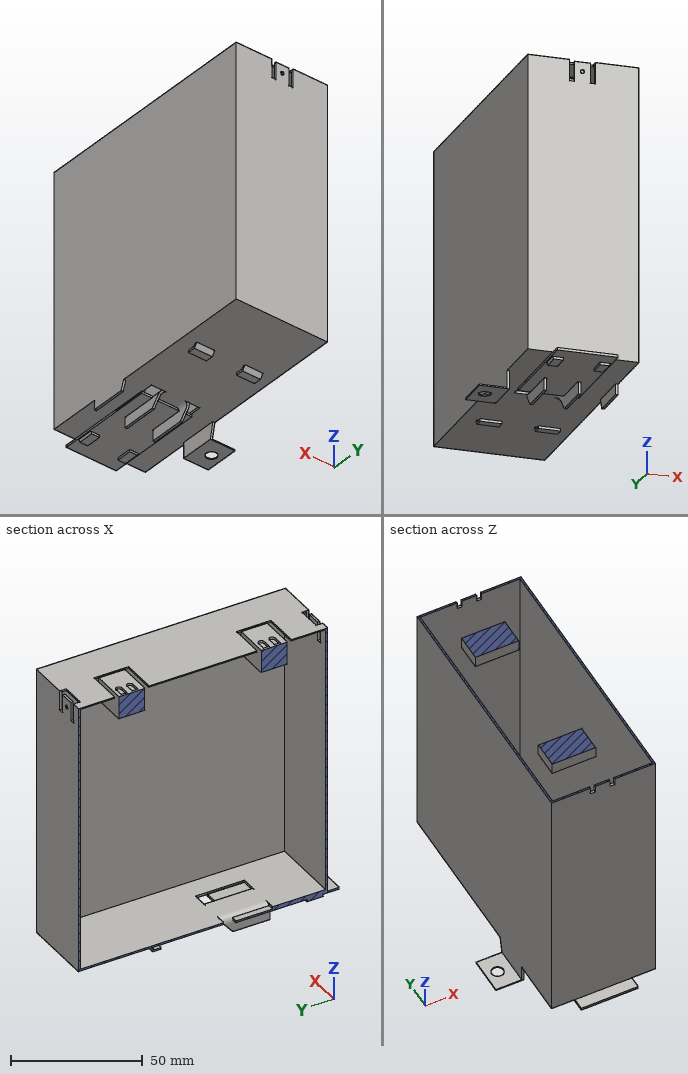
import cadquery as cq

width = 44.7
depth = 109.9
height = 120.0
sheet = 1.0
lid_thickness = 0.8
mid_x = width / 2

tab_front = 24.3
tab_back = 40.5
tab_root_back = 42.0
flange_reach = 11.1
flange_drop = 7.4
flange_thickness = 0.5
flange_hole_diameter = 5.0
flange_hole_x = -6.1
right_tab_drop = 4.3

plate_half_width = 12.2
plate_overhang = 5.1
latch_half_width = 16.2
latch_drop = 2 * sheet
guide_front = 1.9
guide_back = 9.0
guide_draft = 1.0
hook_tip = 73.5
hook_bend = 77.0
hook_root = 78.6
leg_outer_offset = 7.4
leg_drop = 6.0
leg_root_back = 45.8
leg_tip_back = 40.8
leg_bend_radius = 2.9
leg_opening_edge_offset = 11.8

catch_left = 16.8
catch_right = 27.3
catch_center = (catch_left + catch_right) / 2
catch_slot_width = 2.0
catch_slot_depth = 8.7
catch_top_gap = 0.5
catch_opening_depth = 2.9
dimple_diameter = 1.5
dimple_depth = 0.5
dimple_drop = 4.3

window_left = 9.7
window_width = 18.7
window_length = 15.2
window_fronts = (16.0, 78.8)
connector_front_gap = 1.8
connector_back_gap = 1.9
connector_recess = 0.5
connector_height = 10.2
contact_left = 14.0
contact_length = 5.1
contact_width = 2.5
contact_depth = 1.0
contact_offsets = (5.6, 10.5)


def box(x_range, y_range, z_range):
    """Axis-aligned box between the given limits."""
    sizes = [high - low for low, high in (x_range, y_range, z_range)]
    corner = (x_range[0], y_range[0], z_range[0])
    return cq.Workplane("XY").box(*sizes, centered=False).translate(corner)


def side_profile(points, x_start, x_end):
    """Outline of (y, z) points extruded from x_start to x_end."""
    outline = cq.Workplane("YZ", origin=(x_start, 0, 0)).polyline(points).close()
    return outline.extrude(x_end - x_start)


def mirrored_across_width(shape):
    """The shape together with its copy on the other half of the width."""
    twin = shape.translate((-mid_x, 0, 0)).mirror("YZ").translate((mid_x, 0, 0))
    return shape.union(twin)


def housing():
    outer = box((0, width), (0, depth), (0, height))
    inner = box((sheet, width - sheet), (sheet, depth - sheet), (sheet, height - lid_thickness))
    return outer.cut(inner)


def wall_tab(x_start, drop):
    points = [(tab_front, sheet), (tab_root_back, sheet), (tab_root_back, 0),
              (tab_back, -drop), (tab_front, -drop)]
    return side_profile(points, x_start, x_start + sheet)


def mounting_tabs():
    flange_z = (-flange_drop, flange_thickness - flange_drop)
    flange = box((-flange_reach, sheet), (tab_front, tab_back), flange_z)
    hole = (
        cq.Workplane("XY", origin=(flange_hole_x, (tab_front + tab_back) / 2, -flange_drop))
        .circle(flange_hole_diameter / 2)
        .extrude(flange_thickness)
    )
    left_tab = wall_tab(0, flange_drop).union(flange.cut(hole))
    return left_tab.union(wall_tab(width - sheet, right_tab_drop))


def latch_plate():
    x_range = (mid_x - plate_half_width, mid_x + plate_half_width)
    return box(x_range, (-plate_overhang, tab_back), (-sheet, 0))


def latch_guides():
    outer_x = mid_x - plate_half_width
    inner_x = mid_x - leg_outer_offset
    guide = (
        cq.Workplane("XZ", origin=(0, guide_back, 0))
        .polyline([(outer_x, 0), (inner_x, 0), (inner_x, -latch_drop),
                   (outer_x + guide_draft, -latch_drop)])
        .close()
        .extrude(guide_back - guide_front)
    )
    return mirrored_across_width(guide)


def rear_hooks():
    points = [(hook_tip, -latch_drop), (hook_bend, -latch_drop), (hook_root, 0),
              (hook_root - sheet, 0), (hook_bend - sheet / 2, -sheet), (hook_tip, -sheet)]
    hook = side_profile(points, mid_x - latch_half_width, mid_x - leg_outer_offset)
    return mirrored_across_width(hook)


def leg_openings():
    x_range = (mid_x - leg_opening_edge_offset, mid_x - leg_outer_offset + leg_bend_radius)
    return mirrored_across_width(box(x_range, (tab_front, leg_root_back), (0, sheet)))


def legs():
    """Strips of the floor bent down, with their back edges sloping forward."""
    outer_x = mid_x - leg_outer_offset
    bend_x = outer_x + leg_bend_radius
    bend_z = sheet - leg_bend_radius
    inner_radius = leg_bend_radius - sheet
    bent_strip = (
        cq.Workplane("XZ", origin=(0, leg_root_back, 0))
        .moveTo(outer_x, -leg_drop)
        .lineTo(outer_x, bend_z)
        .radiusArc((bend_x, sheet), leg_bend_radius)
        .lineTo(bend_x, 0)
        .radiusArc((outer_x + sheet, bend_z), -inner_radius)
        .lineTo(outer_x + sheet, -leg_drop)
        .close()
        .extrude(leg_root_back - tab_front)
    )
    side_outline = [(tab_front, sheet), (leg_root_back, sheet), (leg_root_back, 0),
                    (leg_tip_back, -leg_drop), (tab_front, -leg_drop)]
    return mirrored_across_width(bent_strip.intersect(side_profile(side_outline, outer_x, bend_x)))


def front_catch_cuts():
    """Lid opening, two wall slots and a dimple that leave a springy tongue."""
    tongue_top = height - catch_top_gap
    catch_x = (catch_left, catch_right)
    lid_z = (height - lid_thickness, height)
    cuts = box(catch_x, (0, sheet), (tongue_top, height))
    cuts = cuts.union(box(catch_x, (sheet, catch_opening_depth), lid_z))
    for slot_left in (catch_left, catch_right - catch_slot_width):
        slot_x = (slot_left, slot_left + catch_slot_width)
        cuts = cuts.union(box(slot_x, (0, sheet), (height - catch_slot_depth, height)))
    dimple = (
        cq.Workplane("XZ", origin=(catch_center, 0, height - dimple_drop))
        .circle(dimple_diameter / 2)
        .extrude(-dimple_depth)
    )
    return cuts.union(dimple)


def back_catch_cuts():
    return front_catch_cuts().mirror("XZ").translate((0, depth, 0))


def window(front):
    x_range = (window_left, window_left + window_width)
    return box(x_range, (front, front + window_length), (height - lid_thickness, height))


def contact_slot(center_y, top):
    """Slot with a square left end and a round right end."""
    half_width = contact_width / 2
    arc_start = contact_length - half_width
    return (
        cq.Workplane("XY", origin=(contact_left, center_y, top - contact_depth))
        .moveTo(0, -half_width)
        .lineTo(arc_start, -half_width)
        .threePointArc((contact_length, 0), (arc_start, half_width))
        .lineTo(0, half_width)
        .close()
        .extrude(contact_depth)
    )


def connector(front):
    top = height - connector_recess
    x_range = (window_left, window_left + window_width)
    y_range = (front + connector_front_gap, front + window_length - connector_back_gap)
    body = box(x_range, y_range, (top - connector_height, top))
    for offset in contact_offsets:
        body = body.cut(contact_slot(front + offset, top))
    return body


result = housing().cut(front_catch_cuts()).cut(back_catch_cuts()).cut(leg_openings())
for window_front in window_fronts:
    result = result.cut(window(window_front)).union(connector(window_front))
for feature in (mounting_tabs(), latch_plate(), latch_guides(), rear_hooks(), legs()):
    result = result.union(feature)